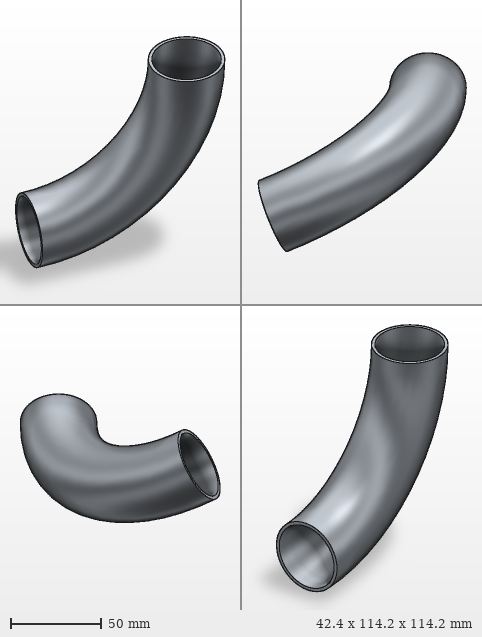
import cadquery as cq

outer_reach = 114.2
outer_diameter = 42.4
inner_diameter = 38.4
bend_angle = 90.0

bend_radius = outer_reach - outer_diameter / 2

result = (
    cq.Workplane("XZ")
    .center(0, -bend_radius)
    .circle(outer_diameter / 2)
    .circle(inner_diameter / 2)
    .revolve(bend_angle, (0, bend_radius, 0), (1, bend_radius, 0))
)